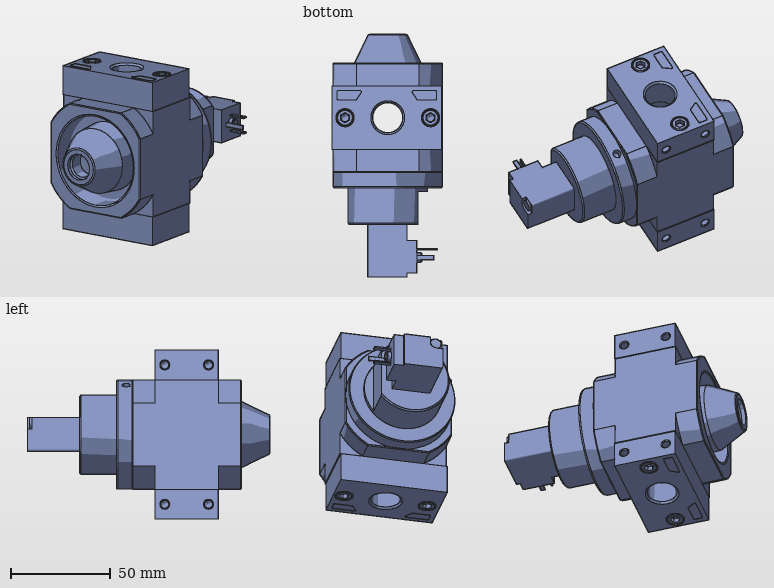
import cadquery as cq
import math


body_size = 55.0
half_body = body_size / 2
body_corner_radius = 31.7
body_edge_chamfer = 0.5
recess_radius = 23.2
recess_depth = 11.0
recess_rim_width = 0.9
recess_rim_depth = 0.4
recess_floor_fillet = 1.0

plate_thickness = 15.0
plate_depth = 32.0
plate_shift = 0.5
port_diameter = 15.0
port_chamfer = 1.0
side_hole_diameter = 4.0
side_hole_depth = 9.8
side_hole_chamfer = 0.5
side_hole_spacing = 22.0
side_hole_height = 35.0
drill_tip_angle = 118.0

label_outer_x = 25.0
label_inner_x = 12.2
label_slope = 3.2
label_width = 4.8
label_depth = 0.2
label_corner_fillet = 0.6
label_y = -11.2

screw_spacing = 43.0
screw_head_diameter = 8.4
screw_head_height = 5.0
screw_head_chamfer = 0.5
screw_shank_diameter = 5.0
screw_length = 24.4
counterbore_diameter = 9.2
socket_flats = 4.4
socket_drill_diameter = 4.0
socket_depth = 2.5

silencer_base_radius = 17.8
silencer_shoulder_radius = 16.7
silencer_tip_radius = 9.9
silencer_tip_y = -42.0
silencer_tip_land = 0.4
silencer_tip_bevel = 0.9
silencer_bore_radius = 6.7
silencer_inner_bore_radius = 5.9
silencer_mouth_depth = 2.1
silencer_bore_taper = 0.9
silencer_bore_depth = 9.8

collar_radius = 27.5
collar_length = 7.8
collar_bevel_width = 0.4
collar_bevel_length = 0.9
collar_hole_diameter = 4.0
collar_hole_depth = 4.9
collar_hole_y = 30.4
collar_hole_angle = 115.0

total_length = 122.0
base_radius = 20.0
base_length = 18.4
base_chamfer = 0.7
base_flat_x = 15.2
base_ledge = 1.8
coil_width = 17.2
coil_left = -10.1
coil_right = 9.8
coil_fillet = 1.1
connector_right = 14.6
connector_near = 61.6
connector_far = 78.1
notch_width = 6.5
notch_height = 5.9
notch_depth = 2.3
coil_screw_diameter = 5.6
coil_screw_gap = 0.1
coil_screw_height = 1.2
boss_y = 70.3
boss_diameter = 5.0
boss_length = 2.0
boss_step_diameter = 4.0
boss_step_length = 0.7
blade_width = 2.2
blade_thickness = 0.7
blade_length = 8.5
blade_tip_chamfer = 0.2
blade_spacing = 8.0
ground_blade_y = 66.1
ground_blade_length = 10.4

recess_floor_y = recess_depth - half_body
plate_face_z = half_body + plate_thickness
collar_end_y = half_body + collar_length
base_end_y = collar_end_y + base_length
coil_end_y = silencer_tip_y + total_length


def y_cylinder(radius, start, end):
    """Cylinder on the valve axis between two Y positions."""
    return cq.Workplane("XZ", origin=(0, start, 0)).circle(radius).extrude(start - end)


def box_between(x0, x1, y0, y1, z0, z1):
    """Box given by its limits."""
    return cq.Workplane("XY").box(x1 - x0, y1 - y0, z1 - z0, centered=False).translate((x0, y0, z0))


def drill(diameter, depth):
    """Drill shape with a pointed tip, entering at the origin and running along -Z."""
    radius = diameter / 2
    tip = radius / math.tan(math.radians(drill_tip_angle / 2))
    outline = [(0, 0), (radius, 0), (radius, -depth), (0, -depth - tip)]
    return cq.Workplane("XZ").polyline(outline).close().revolve(360, (0, 0), (0, 1))


def cone_frustum(start_radius, end_radius, length):
    """Cone frustum from the origin along -Z."""
    outline = [(0, 0), (start_radius, 0), (end_radius, -length), (0, -length)]
    return cq.Workplane("XZ").polyline(outline).close().revolve(360, (0, 0), (0, 1))


def bottom_copy(shape):
    """The same shape turned over onto the bottom of the housing."""
    return shape.mirror("XY")


def make_plate_screw(x):
    """Socket head screw, its head flush with the outer face of the top plate."""
    head = cq.Workplane("XY").circle(screw_head_diameter / 2).extrude(-screw_head_height)
    head = head.faces(">Z").chamfer(screw_head_chamfer)
    shank = cq.Workplane("XY").workplane(offset=-screw_head_height)
    shank = shank.circle(screw_shank_diameter / 2).extrude(-screw_length)
    socket = cq.Workplane("XY").polygon(6, socket_flats, circumscribed=True).extrude(-socket_depth)
    screw = head.union(shank).cut(socket).cut(drill(socket_drill_diameter, socket_depth))
    return screw.translate((x, 0, plate_face_z))


def make_screw_clearance(x):
    """Counterbored hole for one plate screw."""
    recess = cq.Workplane("XY").circle(counterbore_diameter / 2).extrude(-screw_head_height)
    hole = cq.Workplane("XY").circle(screw_shank_diameter / 2).extrude(-screw_head_height - screw_length)
    return recess.union(hole).translate((x, 0, plate_face_z))


def make_label_field():
    """Label recess with a sloped inner end, measured along X from the middle of the plate."""
    half_width = label_width / 2
    outline = [
        (label_outer_x, -half_width),
        (label_outer_x, half_width),
        (label_inner_x + label_slope, half_width),
        (label_inner_x, -half_width),
    ]
    field = cq.Workplane("XY").polyline(outline).close().extrude(-label_depth)
    field = field.edges("|Z").fillet(label_corner_fillet)
    return field.translate((0, label_y, plate_face_z))


def make_side_hole():
    """Countersunk blind hole entering at the origin along -Z."""
    rim_radius = side_hole_diameter / 2 + side_hole_chamfer
    rim = cone_frustum(rim_radius, side_hole_diameter / 2, side_hole_chamfer)
    return drill(side_hole_diameter, side_hole_depth).union(rim)


def make_plate():
    """Top port plate."""
    left = -half_body - plate_shift
    plate = box_between(
        left, left + body_size, -plate_depth / 2, plate_depth / 2, half_body, plate_face_z
    )
    plate = plate.cut(cq.Workplane("XY").circle(port_diameter / 2).extrude(plate_face_z))
    port_rim = cone_frustum(port_diameter / 2 + port_chamfer, port_diameter / 2, port_chamfer)
    plate = plate.cut(port_rim.translate((0, 0, plate_face_z)))
    side_hole = make_side_hole().rotate((0, 0, 0), (0, 1, 0), -90)
    for side in (-1, 1):
        plate = plate.cut(make_screw_clearance(side * screw_spacing / 2))
        plate = plate.cut(side_hole.translate((left, side * side_hole_spacing / 2, side_hole_height)))
    label = make_label_field()
    labels = label.union(label.mirror("YZ")).translate((-plate_shift, 0, 0))
    return plate.cut(labels)


def make_housing():
    """Cube with a full square waist between the plates and rounded long edges at both ends."""
    cube = cq.Workplane("XY").box(body_size, body_size, body_size)
    rounded = cube.intersect(y_cylinder(body_corner_radius, -half_body, half_body))
    rounded = rounded.faces("<Y or >Y").chamfer(body_edge_chamfer)
    waist = cq.Workplane("XY").box(body_size, plate_depth, body_size)
    housing = rounded.union(waist)

    recess = y_cylinder(recess_radius, -half_body, recess_floor_y)
    recess = recess.faces(">Y").edges().fillet(recess_floor_fillet)
    rim = cone_frustum(recess_radius + recess_rim_width, recess_radius, recess_rim_depth)
    rim = rim.rotate((0, 0, 0), (1, 0, 0), 90).translate((0, -half_body, 0))
    housing = housing.cut(recess).cut(rim)

    port = cq.Workplane("XY").circle(port_diameter / 2).extrude(half_body, both=True)
    housing = housing.cut(port)
    for side in (-1, 1):
        clearance = make_screw_clearance(side * screw_spacing / 2)
        housing = housing.cut(clearance).cut(bottom_copy(clearance))
    return housing


def make_silencer():
    """Turned cone standing on the recess floor, with a stepped blind bore."""
    outline = [
        (0, recess_floor_y),
        (silencer_base_radius, recess_floor_y),
        (silencer_shoulder_radius, -half_body),
        (silencer_tip_radius, silencer_tip_y + silencer_tip_land),
        (silencer_tip_radius - silencer_tip_bevel, silencer_tip_y),
        (silencer_bore_radius, silencer_tip_y),
        (silencer_bore_radius, silencer_tip_y + silencer_mouth_depth),
        (silencer_inner_bore_radius, silencer_tip_y + silencer_mouth_depth + silencer_bore_taper),
        (silencer_inner_bore_radius, silencer_tip_y + silencer_bore_depth),
        (0, silencer_tip_y + silencer_bore_depth),
    ]
    return cq.Workplane("XY").polyline(outline).close().revolve(360, (0, 0), (0, 1))


def make_collar():
    """Round collar with one radial drilled spanner hole."""
    outline = [
        (0, half_body),
        (collar_radius, half_body),
        (collar_radius, collar_end_y - collar_bevel_length),
        (collar_radius - collar_bevel_width, collar_end_y),
        (0, collar_end_y),
    ]
    collar = cq.Workplane("XY").polyline(outline).close().revolve(360, (0, 0), (0, 1))
    hole = drill(collar_hole_diameter, collar_hole_depth).translate((0, 0, collar_radius))
    hole = hole.rotate((0, 0, 0), (0, 1, 0), 90 - collar_hole_angle)
    return collar.cut(hole.translate((0, collar_hole_y, 0)))


def make_blade(length):
    """Flat contact blade from the origin along +X, its width along Y and its tip bevelled."""
    blade = cq.Workplane("XY").box(length, blade_width, blade_thickness, centered=(False, True, True))
    return blade.edges("|Y and >X").chamfer(blade_tip_chamfer)


def make_solenoid_base():
    """Round base with a flat on the +X side above a full-round ledge."""
    base = y_cylinder(base_radius, collar_end_y, base_end_y)
    base = base.faces(">Y").chamfer(base_chamfer)
    flat = box_between(
        base_flat_x, base_radius, collar_end_y + base_ledge, base_end_y, -base_radius, base_radius
    )
    return base.cut(flat)


def make_coil():
    """Coil block with a raised connector face and a corner notch holding a screw head."""
    half_width = coil_width / 2
    coil = box_between(coil_left, coil_right, base_end_y, coil_end_y, -half_width, half_width)
    coil = coil.edges("|Y and <X").fillet(coil_fillet)
    connector = box_between(
        coil_right, connector_right, connector_near, connector_far, -half_width, half_width
    )
    notch_floor_y = coil_end_y - notch_depth
    notch = box_between(
        coil_left, coil_left + notch_width, notch_floor_y, coil_end_y, half_width - notch_height, half_width
    )
    head_radius = coil_screw_diameter / 2
    notch = notch.edges("|Y and >X and <Z").fillet(head_radius + coil_screw_gap)
    head = y_cylinder(head_radius, notch_floor_y, notch_floor_y + coil_screw_height)
    head_x = coil_left + notch_width - coil_screw_gap - head_radius
    head_z = half_width - notch_height + coil_screw_gap + head_radius
    head = head.translate((head_x, 0, head_z))
    return coil.union(connector).cut(notch).union(head)


def make_contacts():
    """Threaded boss, two contact blades and the ground blade on the connector face."""
    boss = cq.Workplane("YZ").circle(boss_diameter / 2).extrude(boss_length)
    step = cq.Workplane("YZ").circle(boss_step_diameter / 2).extrude(boss_length + boss_step_length)
    contacts = boss.union(step).translate((0, boss_y, 0))
    for side in (-1, 1):
        blade = make_blade(blade_length)
        contacts = contacts.add(blade.translate((0, boss_y, side * blade_spacing / 2)))
    ground = make_blade(ground_blade_length).rotate((0, 0, 0), (1, 0, 0), 90)
    contacts = contacts.add(ground.translate((0, ground_blade_y, 0)))
    return contacts.combine().translate((connector_right, 0, 0))


def make_solenoid():
    """Complete pilot solenoid."""
    return make_solenoid_base().union(make_coil()).union(make_contacts())


housing = make_housing()
silencer = make_silencer()
collar = make_collar()
solenoid = make_solenoid()
top_plate = make_plate()
bottom_plate = bottom_copy(top_plate)

plate_screws = []
for side in (-1, 1):
    screw = make_plate_screw(side * screw_spacing / 2)
    plate_screws.append(screw.val())
    plate_screws.append(bottom_copy(screw).val())

result = cq.Compound.makeCompound([
    housing.val(),
    top_plate.val(),
    bottom_plate.val(),
    silencer.val(),
    collar.val(),
    solenoid.val(),
    *plate_screws,
])